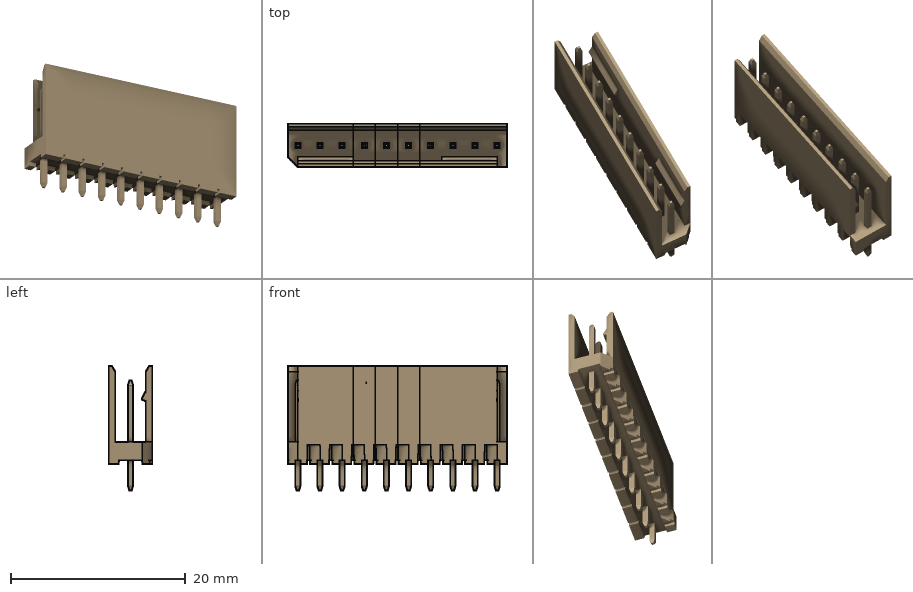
import cadquery as cq

LENGTH = 25.1
DEPTH = 5.0
HOUSING_HEIGHT = 11.27
PIN_COUNT = 10
END_MARGIN = 1.13
PITCH = (LENGTH - 2 * END_MARGIN) / (PIN_COUNT - 1)

FRONT_Y = -DEPTH / 2
BACK_Y = DEPTH / 2
LEFT_X = -LENGTH / 2
RIGHT_X = LENGTH / 2
FIRST_PIN_X = LEFT_X + END_MARGIN

BASE_TOP = 2.55
CHANNEL_HEIGHT = 0.45
RAIL_WIDTH_TOP = 1.2
RAIL_WIDTH_BOTTOM = 1.13

WALL = 0.75
WALL_TIP = 0.38
BEVEL_HEIGHT = 0.65

RIDGE_TOP = 8.4
RIDGE_PEAK = 7.53
RIDGE_LIP = 0.13
RIDGE_BOTTOM = 7.2
RIDGE_REACH = 0.45
RIDGE_PITCHES = 2.5

SLOT_HEIGHT = 2.25
SLOT_START = 1.1
SLOT_DRAFT = 0.05

PIN_WIDTH = 0.63
PIN_TIP_WIDTH = 0.28
PIN_TAPER = 0.55
PIN_BOTTOM = -3.04
PIN_TOP = 9.61
GROOVE_WIDTH = 0.58

SEGMENTS = [(0, 2), (3, 3), (4, 4), (5, 5), (6, 9)]


def pin_x(index):
    return FIRST_PIN_X + index * PITCH


def box(x0, x1, y0, y1, z0, z1):
    return cq.Workplane("XY").box(x1 - x0, y1 - y0, z1 - z0, centered=False).translate((x0, y0, z0))


def side_prism(points, x0, x1):
    """Y-Z outline extruded from x0 to x1."""
    return cq.Workplane("YZ").polyline(points).close().extrude(x1 - x0).translate((x0, 0, 0))


def base(x0, x1):
    outline = [
        (FRONT_Y, 0),
        (FRONT_Y, BASE_TOP),
        (BACK_Y, BASE_TOP),
        (BACK_Y, 0),
        (BACK_Y - RAIL_WIDTH_BOTTOM, 0),
        (BACK_Y - RAIL_WIDTH_TOP, CHANNEL_HEIGHT),
        (FRONT_Y + RAIL_WIDTH_TOP, CHANNEL_HEIGHT),
        (FRONT_Y + RAIL_WIDTH_BOTTOM, 0),
    ]
    return side_prism(outline, x0, x1)


def wall(x0, x1, outer_y, inward):
    """Upright wall with a bevelled inner top edge; inward is +1 or -1 along Y."""
    outline = [
        (outer_y, 0),
        (outer_y, HOUSING_HEIGHT),
        (outer_y + inward * WALL_TIP, HOUSING_HEIGHT),
        (outer_y + inward * WALL, HOUSING_HEIGHT - BEVEL_HEIGHT),
        (outer_y + inward * WALL, 0),
    ]
    return side_prism(outline, x0, x1)


def latch_ridge(x0, x1):
    wall_y = FRONT_Y + WALL
    outline = [
        (wall_y, RIDGE_TOP),
        (wall_y + RIDGE_REACH, RIDGE_PEAK),
        (wall_y + RIDGE_REACH, RIDGE_PEAK - RIDGE_LIP),
        (wall_y, RIDGE_BOTTOM),
    ]
    return side_prism(outline, x0, x1)


def corner_cut():
    """Prism that takes the front left corner off the base."""
    corner = [
        (LEFT_X, FRONT_Y),
        (LEFT_X + END_MARGIN, FRONT_Y),
        (LEFT_X, FRONT_Y + END_MARGIN),
    ]
    return cq.Workplane("XY").polyline(corner).close().extrude(BASE_TOP)


def slot_outline(index, spread):
    """Slot after a pin: straight left side, 45-degree right side ending in line with the next pin."""
    left = pin_x(index) + SLOT_START - spread
    right = pin_x(index + 1) + spread
    return [
        (left, FRONT_Y),
        (right, FRONT_Y),
        (right - RAIL_WIDTH_TOP, FRONT_Y + RAIL_WIDTH_TOP),
        (left, FRONT_Y + RAIL_WIDTH_TOP),
    ]


def front_slot(index):
    return (
        cq.Workplane("XY")
        .polyline(slot_outline(index, SLOT_DRAFT)).close()
        .workplane(offset=SLOT_HEIGHT)
        .polyline(slot_outline(index, 0)).close()
        .loft(ruled=True)
    )


def back_gap(index):
    """Gap between two back feet, in line with the inner end of the front slot."""
    x0 = pin_x(index) + SLOT_START - SLOT_DRAFT
    x1 = pin_x(index + 1) + SLOT_DRAFT - RAIL_WIDTH_TOP
    return box(x0, x1, BACK_Y - RAIL_WIDTH_TOP, BACK_Y, 0, CHANNEL_HEIGHT)


def pin_groove(index):
    """Groove across the underside of the front foot, in line with a pin."""
    x0 = pin_x(index) - GROOVE_WIDTH / 2
    return box(x0, x0 + GROOVE_WIDTH, FRONT_Y, FRONT_Y + RAIL_WIDTH_TOP, 0, CHANNEL_HEIGHT)


def pin_tip(z_wide, z_end):
    return (
        cq.Workplane("XY").workplane(offset=z_wide)
        .rect(PIN_WIDTH, PIN_WIDTH)
        .workplane(offset=z_end - z_wide)
        .rect(PIN_TIP_WIDTH, PIN_TIP_WIDTH)
        .loft(ruled=True)
    )


def pin(index):
    shank_bottom = PIN_BOTTOM + PIN_TAPER
    shank_top = PIN_TOP - PIN_TAPER
    half = PIN_WIDTH / 2
    shank = box(-half, half, -half, half, shank_bottom, shank_top)
    whole = shank.union(pin_tip(shank_top, PIN_TOP)).union(pin_tip(shank_bottom, PIN_BOTTOM))
    return whole.translate((pin_x(index), 0, 0))


def header_segment(first, last):
    """One stretch of the header from its first to its last pin, moulded around its pins."""
    is_left_end = first == 0
    is_right_end = last == PIN_COUNT - 1
    x0 = LEFT_X if is_left_end else pin_x(first) - PITCH / 2
    x1 = RIGHT_X if is_right_end else pin_x(last) + PITCH / 2
    wall_x0 = max(x0, pin_x(0))
    wall_x1 = min(x1, pin_x(PIN_COUNT - 1))

    body = base(x0, x1).union(wall(x0, x1, BACK_Y, -1)).union(wall(wall_x0, wall_x1, FRONT_Y, 1))
    if is_left_end:
        body = body.union(latch_ridge(wall_x0, wall_x0 + RIDGE_PITCHES * PITCH)).cut(corner_cut())
    if is_right_end:
        body = body.union(latch_ridge(wall_x1 - RIDGE_PITCHES * PITCH, wall_x1))

    for index in range(max(first - 1, 0), min(last + 1, PIN_COUNT - 1)):
        body = body.cut(front_slot(index)).cut(back_gap(index))
    for index in range(first, last + 1):
        body = body.cut(pin_groove(index)).union(pin(index))
    return body.solids()


segments = [header_segment(first, last) for first, last in SEGMENTS]

result = cq.Compound.makeCompound([segment.val() for segment in segments])